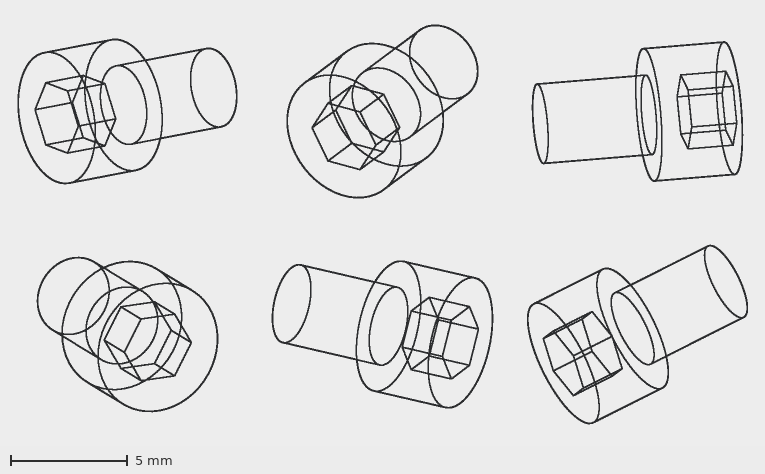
import cadquery as cq
import math

total_length = 8.27
head_diameter = 5.71
head_length = 3.52
shank_diameter = 3.42
socket_across_flats = 2.77
socket_depth = 1.97

shank_length = total_length - head_length
socket_across_corners = socket_across_flats / math.cos(math.pi / 6)

head = cq.Workplane("XZ").circle(head_diameter / 2).extrude(head_length)
shank = cq.Workplane("XZ").circle(shank_diameter / 2).extrude(-shank_length)

socket = (
    cq.Workplane("XZ", origin=(0, -head_length, 0))
    .polygon(6, socket_across_corners)
    .extrude(-socket_depth)
)

result = head.union(shank).cut(socket)